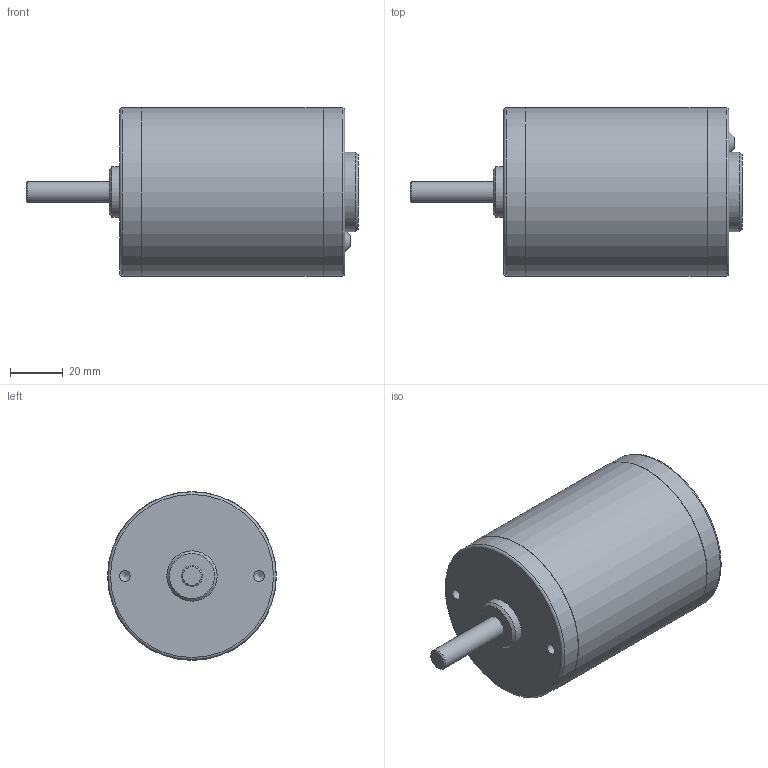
import cadquery as cq
import math

overall_length = 125.82
shaft_length = 35.48
collar_length = 4.0
body_length = 85.35
cap_length = 8.25
rear_boss_length = overall_length - shaft_length - body_length
can_length = body_length - 2 * cap_length

shaft_diameter = 8.0
collar_diameter = 19.05
cap_diameter = 63.75
can_diameter = 64.01
rear_boss_diameter = 30.07

shaft_chamfer = 0.5
collar_chamfer = 1.0
cap_fillet = 1.0
rear_boss_chamfer = 1.0

hole_diameter = 4.04
hole_spacing = 50.8
hole_depth = 8.0
drill_point_angle = 118.0

stud_base_diameter = 8.64
stud_tip_diameter = 4.04
stud_height = 2.3
stud_radius = 26.4
stud_angle = -45.0

rear_face_x = body_length


def cylinder(start_x, length, diameter):
    """Cylinder on the motor axis, extending towards +X."""
    return cq.Workplane("YZ", origin=(start_x, 0, 0)).circle(diameter / 2).extrude(length)


def make_shaft():
    return cylinder(-shaft_length, shaft_length, shaft_diameter).faces("<X").chamfer(shaft_chamfer)


def make_collar():
    return cylinder(-collar_length, collar_length, collar_diameter).faces("<X").chamfer(collar_chamfer)


def make_body():
    front_cap = cylinder(0, cap_length, cap_diameter).faces("<X").fillet(cap_fillet)
    can = cylinder(cap_length, can_length, can_diameter)
    rear_cap = cylinder(rear_face_x - cap_length, cap_length, cap_diameter).faces(">X").fillet(cap_fillet)
    return front_cap.union(can).union(rear_cap)


def make_rear_boss():
    boss = cylinder(rear_face_x, rear_boss_length, rear_boss_diameter)
    return boss.faces(">X").chamfer(rear_boss_chamfer)


def make_stud():
    angle = math.radians(stud_angle)
    center = (rear_face_x, stud_radius * math.cos(angle), stud_radius * math.sin(angle))
    cone = cq.Solid.makeCone(
        stud_base_diameter / 2,
        stud_tip_diameter / 2,
        stud_height,
        pnt=cq.Vector(*center),
        dir=cq.Vector(1, 0, 0),
    )
    return cq.Workplane(cone)


def make_mounting_hole(y):
    """Cutter for one blind hole: half profile revolved about the hole axis."""
    radius = hole_diameter / 2
    point_depth = radius / math.tan(math.radians(drill_point_angle / 2))
    return (
        cq.Workplane("XY", origin=(0, y, 0))
        .moveTo(0, 0)
        .lineTo(0, radius)
        .lineTo(hole_depth, radius)
        .lineTo(hole_depth + point_depth, 0)
        .close()
        .revolve(360, (0, 0, 0), (1, 0, 0))
    )


result = make_body()
for feature in (make_collar(), make_shaft(), make_rear_boss(), make_stud()):
    result = result.union(feature)
for side in (-1, 1):
    result = result.cut(make_mounting_hole(side * hole_spacing / 2))